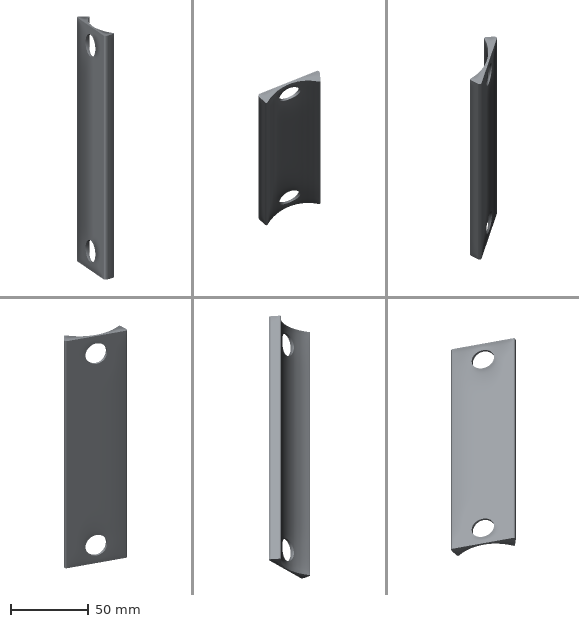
import cadquery as cq
import math

LENGTH = 166.0
WIDTH = 43.0
THICKNESS = 8.0

SADDLE_RADIUS = 29.5
FLOOR_THICKNESS = 1.5

FRONT_EDGE_RADIUS = 1.2
SIDE_FLAT_TOP = 2.2
TIP_RADIUS = 0.8

HOLE_DIAMETER = 15.0
HOLE_END_DISTANCE = 13.0


def on_circle(center, radius, angle):
    """Point on a circle, with the angle in radians from +X."""
    return (center[0] + radius * math.cos(angle), center[1] + radius * math.sin(angle))


def mirrored(point):
    """The same point on the -X half of the symmetric section."""
    return (-point[0], point[1])


def make_bar():
    """Solid bar whose XY section has rounds at both tips and both front edges."""
    saddle_center_y = FLOOR_THICKNESS + SADDLE_RADIUS
    tip_y = THICKNESS - TIP_RADIUS
    tip_x = math.sqrt((SADDLE_RADIUS + TIP_RADIUS) ** 2 - (saddle_center_y - tip_y) ** 2)
    tip_center = (tip_x, tip_y)
    edge_center = (WIDTH / 2 - FRONT_EDGE_RADIUS, FRONT_EDGE_RADIUS)

    flat_top = (WIDTH / 2, SIDE_FLAT_TOP)
    rise = tip_center[1] - flat_top[1]
    inset = flat_top[0] - tip_center[0]
    side_angle = math.atan2(inset, rise) - math.asin(TIP_RADIUS / math.hypot(rise, inset))

    front_angle = -math.pi / 2
    front_end = on_circle(edge_center, FRONT_EDGE_RADIUS, front_angle)
    edge_middle = on_circle(edge_center, FRONT_EDGE_RADIUS, front_angle / 2)
    flat_start = on_circle(edge_center, FRONT_EDGE_RADIUS, 0)

    saddle_angle = math.atan2(saddle_center_y - tip_y, -tip_x)
    side_end = on_circle(tip_center, TIP_RADIUS, side_angle)
    tip_middle = on_circle(tip_center, TIP_RADIUS, (side_angle + saddle_angle) / 2)
    saddle_end = on_circle(tip_center, TIP_RADIUS, saddle_angle)

    return (
        cq.Workplane("XY")
        .moveTo(*mirrored(front_end))
        .lineTo(*front_end)
        .threePointArc(edge_middle, flat_start)
        .lineTo(*flat_top)
        .lineTo(*side_end)
        .threePointArc(tip_middle, saddle_end)
        .threePointArc((0, FLOOR_THICKNESS), mirrored(saddle_end))
        .threePointArc(mirrored(tip_middle), mirrored(side_end))
        .lineTo(*mirrored(flat_top))
        .lineTo(*mirrored(flat_start))
        .threePointArc(mirrored(edge_middle), mirrored(front_end))
        .close()
        .extrude(LENGTH)
    )


def make_holes():
    """Cylinders that pass through the full thickness near both ends."""
    hole_heights = (HOLE_END_DISTANCE, LENGTH - HOLE_END_DISTANCE)
    return (
        cq.Workplane("XZ")
        .pushPoints([(0, z) for z in hole_heights])
        .circle(HOLE_DIAMETER / 2)
        .extrude(-THICKNESS)
    )


result = make_bar().cut(make_holes())